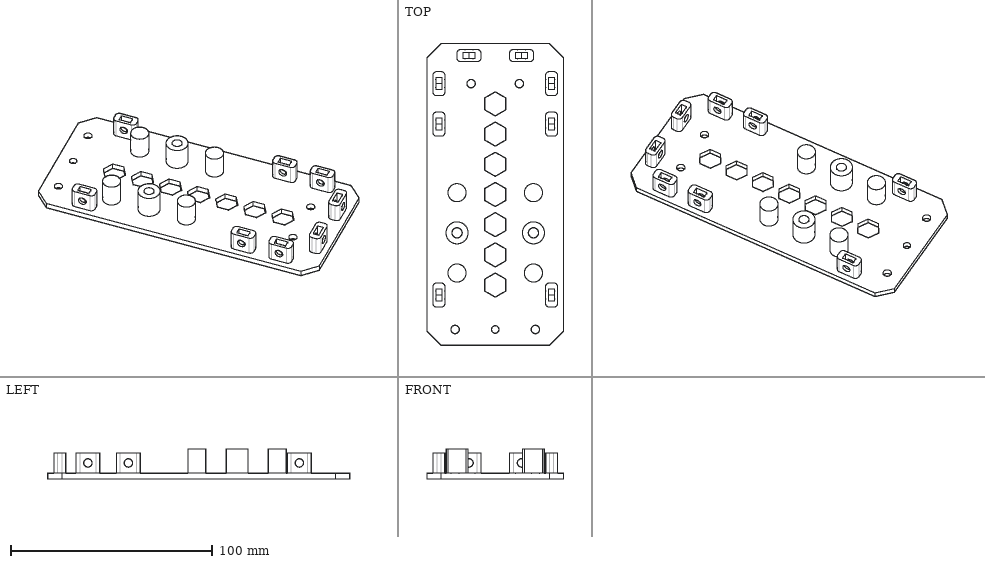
import cadquery as cq
import math

PLATE_WIDTH = 68.0
PLATE_LENGTH = 150.0
PLATE_THICKNESS = 3.0
CORNER_CUT = 7.0

HEX_DIAMETER = 11.8
HEX_PITCH = 15.0
HEX_COUNT = 7

REAR_HOLE_DIAMETER = 4.0
REAR_HOLE_X = 12.0
FRONT_HOLE_DIAMETER = 4.0
FRONT_HOLE_X = 20.0
FRONT_CENTRE_HOLE_DIAMETER = 3.6
FRONT_HOLE_INSET = 8.0
FRONT_HOLE_Y = FRONT_HOLE_INSET - PLATE_LENGTH / 2

POST_HEIGHT = 12.0
POST_INSET = 15.0
POST_X = PLATE_WIDTH / 2 - POST_INSET
BOSS_Y = -19.0
BOSS_DIAMETER = 11.0
BOSS_BORE = 5.0
PEG_DIAMETER = 9.0
PEG_SPACING = 20.0

LUG_INSET = 6.0
LUG_LENGTH = 12.0
LUG_DEPTH = 6.0
LUG_HEIGHT = 10.0
LUG_CORNER_RADIUS = 2.0
LUG_HOLE_DIAMETER = 4.0
NUT_WIDTH = 6.0
NUT_THICKNESS = 3.0
SIDE_LUG_X = PLATE_WIDTH / 2 - LUG_INSET
SIDE_LUG_YS = (55.0, 35.0, -50.0)
REAR_LUG_X = 13.0
REAR_LUG_Y = PLATE_LENGTH / 2 - LUG_INSET

REAR_HOLE_Y = SIDE_LUG_YS[0]

POST_TOP = PLATE_THICKNESS + POST_HEIGHT
LUG_TOP = PLATE_THICKNESS + LUG_HEIGHT


def make_plate():
    """Flat plate with its four vertical corners cut off."""
    plate = cq.Workplane("XY").rect(PLATE_WIDTH, PLATE_LENGTH).extrude(PLATE_THICKNESS)
    return plate.edges("|Z").chamfer(CORNER_CUT)


def cut_hex_windows(plate):
    """Row of hexagons through the plate, points toward +Y and -Y."""
    hexes = (
        cq.Workplane("XY")
        .transformed(rotate=(0, 0, 90))
        .rarray(HEX_PITCH, 1.5, HEX_COUNT, 1)
        .polygon(6, HEX_DIAMETER)
        .extrude(PLATE_THICKNESS)
    )
    return plate.cut(hexes)


def cut_through_holes(body, diameter, points):
    """Vertical round holes through everything at the given points."""
    holes = cq.Workplane("XY").pushPoints(points).circle(diameter / 2).extrude(POST_TOP)
    return body.cut(holes)


def make_posts(diameter, points):
    """Round posts rising from the underside level so that they merge with the plate."""
    return cq.Workplane("XY").pushPoints(points).circle(diameter / 2).extrude(POST_TOP)


def make_lug():
    """Lug standing at the origin on the plate's top level, long along Y, screw hole along X."""
    block = (
        cq.Workplane("XY")
        .workplane(offset=PLATE_THICKNESS)
        .rect(LUG_DEPTH, LUG_LENGTH)
        .extrude(LUG_HEIGHT)
        .edges("|Z")
        .fillet(LUG_CORNER_RADIUS)
    )
    hole_z = PLATE_THICKNESS + LUG_HEIGHT / 2
    screw_hole = (
        cq.Workplane("YZ")
        .center(0, hole_z)
        .circle(LUG_HOLE_DIAMETER / 2)
        .extrude(LUG_DEPTH / 2, both=True)
    )
    half_nut = NUT_WIDTH / 2
    nut_corner_radius = NUT_WIDTH / math.sqrt(3)
    shoulder_z = hole_z - nut_corner_radius / 2
    nut_slot = (
        cq.Workplane("YZ")
        .moveTo(0, hole_z - nut_corner_radius)
        .lineTo(half_nut, shoulder_z)
        .lineTo(half_nut, LUG_TOP)
        .lineTo(-half_nut, LUG_TOP)
        .lineTo(-half_nut, shoulder_z)
        .close()
        .extrude(NUT_THICKNESS / 2, both=True)
    )
    return block.cut(screw_hole).cut(nut_slot)


def mirrored_pair(x, y):
    """Two points at the same Y, one on each side of the centre line."""
    return [(-x, y), (x, y)]


result = cut_hex_windows(make_plate())

peg_points = mirrored_pair(POST_X, BOSS_Y + PEG_SPACING) + mirrored_pair(POST_X, BOSS_Y - PEG_SPACING)
boss_points = mirrored_pair(POST_X, BOSS_Y)
result = result.union(make_posts(PEG_DIAMETER, peg_points))
result = result.union(make_posts(BOSS_DIAMETER, boss_points))

result = cut_through_holes(result, BOSS_BORE, boss_points)
result = cut_through_holes(result, REAR_HOLE_DIAMETER, mirrored_pair(REAR_HOLE_X, REAR_HOLE_Y))
result = cut_through_holes(result, FRONT_HOLE_DIAMETER, mirrored_pair(FRONT_HOLE_X, FRONT_HOLE_Y))
result = cut_through_holes(result, FRONT_CENTRE_HOLE_DIAMETER, [(0, FRONT_HOLE_Y)])

side_lug = make_lug()
for lug_y in SIDE_LUG_YS:
    for point in mirrored_pair(SIDE_LUG_X, lug_y):
        result = result.union(side_lug.translate((*point, 0)))

rear_lug = side_lug.rotate((0, 0, 0), (0, 0, 1), 90)
for point in mirrored_pair(REAR_LUG_X, REAR_LUG_Y):
    result = result.union(rear_lug.translate((*point, 0)))